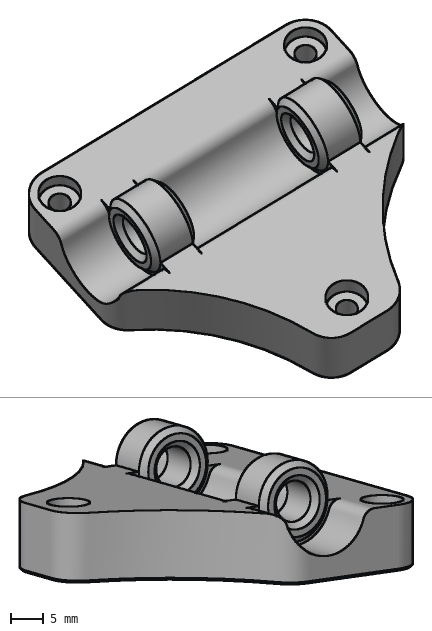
import cadquery as cq
import math

plate_length = 53.0
plate_width = 56.8
half_width = plate_width / 2
corner_radius = 5.0
bottom_chamfer = 0.4

shoulder_x = 24.95
tip_half_width = 7.3
flank_mid_x = 37.0
flank_mid_y = 14.5

axis_x = 18.45
axis_z = 11.0
left_drop = 0.55
left_height = axis_z - left_drop

groove_radius = 7.05
left_lip_radius = 2.15
right_lip_radius = 2.0

knuckle_radius = 6.5
knuckle_bore = 6.5
knuckle_length = 8.25
knuckle_chamfer = 1.0
knuckle_y = 16.05
web_length = knuckle_length - 2 * knuckle_chamfer

hole_diameter = 3.4
counterbore_diameter = 6.6
counterbore_floor_z = 8.0
left_hole_inset = 4.8
tip_hole_inset = 5.7


def make_plate():
    outline = (
        cq.Workplane("XY")
        .moveTo(0, -half_width)
        .lineTo(shoulder_x, -half_width)
        .threePointArc((flank_mid_x, -flank_mid_y), (plate_length, -tip_half_width))
        .lineTo(plate_length, tip_half_width)
        .threePointArc((flank_mid_x, flank_mid_y), (shoulder_x, half_width))
        .lineTo(0, half_width)
        .close()
    )
    plate = outline.extrude(axis_z).edges("|Z").fillet(corner_radius)
    plate = plate.faces("<Z").chamfer(bottom_chamfer)
    lowered_area = (
        cq.Workplane("XY", origin=(0, 0, left_height))
        .rect(axis_x, plate_width)
        .extrude(left_drop)
        .translate((axis_x / 2, 0, 0))
    )
    return plate.cut(lowered_area)


def lip_points(lip_radius, drop, side):
    """Top, middle and groove ends of a lip arc, relative to the hinge axis."""
    center_distance = groove_radius + lip_radius
    center_z = -drop - lip_radius
    center_x = math.sqrt(center_distance**2 - center_z**2)
    top = (side * center_x, -drop)
    ratio = groove_radius / center_distance
    tangent = (side * center_x * ratio, center_z * ratio)
    start_angle = math.pi / 2
    end_angle = math.pi + math.atan2(center_z, center_x)
    middle_angle = (start_angle + end_angle) / 2
    middle = (
        side * (center_x + lip_radius * math.cos(middle_angle)),
        center_z + lip_radius * math.sin(middle_angle),
    )
    return top, middle, tangent


def make_groove(y_start, y_end):
    left_top, left_middle, left_tangent = lip_points(left_lip_radius, left_drop, -1)
    right_top, right_middle, right_tangent = lip_points(right_lip_radius, 0, 1)
    return (
        cq.Workplane("XZ", origin=(axis_x, y_end, axis_z))
        .moveTo(*left_top)
        .threePointArc(left_middle, left_tangent)
        .threePointArc((0, -groove_radius), right_tangent)
        .threePointArc(right_middle, right_top)
        .lineTo(left_top[0], 0)
        .close()
        .extrude(y_end - y_start)
    )


def knuckle_start(y_center):
    return cq.Workplane("XZ", origin=(axis_x, y_center + knuckle_length / 2, axis_z))


def make_knuckle(y_center):
    return (
        knuckle_start(y_center)
        .circle(knuckle_radius)
        .circle(knuckle_bore / 2)
        .extrude(knuckle_length)
        .faces("<Y or >Y")
        .chamfer(knuckle_chamfer)
    )


def make_bore(y_center):
    return knuckle_start(y_center).circle(knuckle_bore / 2).extrude(knuckle_length)


def drill_screw_hole(body, x, y, top):
    through_hole = cq.Workplane("XY").center(x, y).circle(hole_diameter / 2).extrude(top)
    counterbore = (
        cq.Workplane("XY", origin=(x, y, counterbore_floor_z))
        .circle(counterbore_diameter / 2)
        .extrude(top - counterbore_floor_z)
    )
    return body.cut(through_hole).cut(counterbore)


result = make_plate()

web_inner = knuckle_y - web_length / 2
web_outer = knuckle_y + web_length / 2
groove_spans = [(-half_width, -web_outer), (-web_inner, web_inner), (web_outer, half_width)]
for span_start, span_end in groove_spans:
    result = result.cut(make_groove(span_start, span_end))

for y_center in (-knuckle_y, knuckle_y):
    result = result.cut(make_bore(y_center))
    result = result.union(make_knuckle(y_center))

for side in (-1, 1):
    hole_y = side * (half_width - left_hole_inset)
    result = drill_screw_hole(result, left_hole_inset, hole_y, left_height)
result = drill_screw_hole(result, plate_length - tip_hole_inset, 0, axis_z)